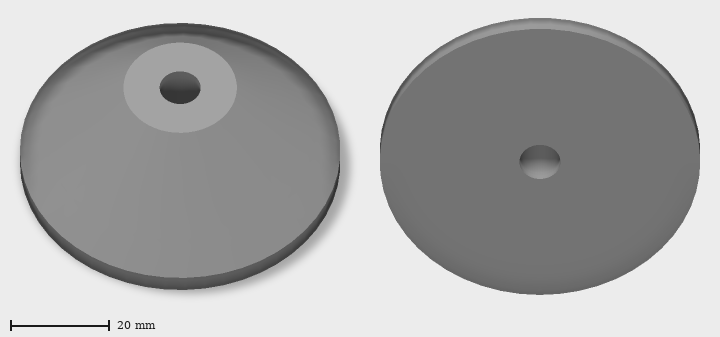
import cadquery as cq

base_diameter = 65.0
total_height = 25.0
rim_height = 4.0
hole_diameter = 8.3

base_radius = base_diameter / 2
flank_height = total_height - rim_height
top_radius = base_radius - flank_height
hole_radius = hole_diameter / 2

half_section = (
    cq.Workplane("XZ")
    .moveTo(hole_radius, 0)
    .lineTo(base_radius, 0)
    .lineTo(base_radius, rim_height)
    .lineTo(top_radius, total_height)
    .lineTo(hole_radius, total_height)
    .close()
)

result = half_section.revolve(360, (0, 0), (0, 1))